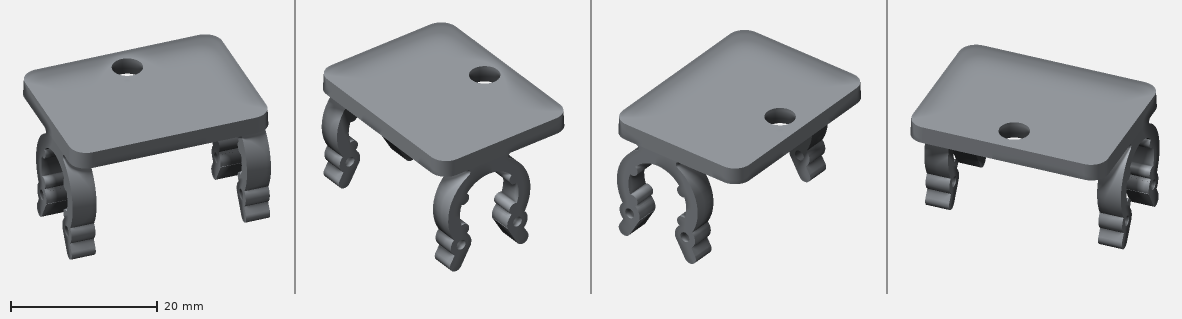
import cadquery as cq
import math

plate_width = 22.0
plate_length = 29.0
plate_thickness = 2.5
plate_corner_radius = 2.5
plate_top_inset = 0.1

hole_diameter = 4.3
hole_x = -7.0

overall_height = 18.25
clip_width = 3.5
clip_x = 3.0
ring_outer_radius = 7.0
ring_inner_radius = 5.0
ring_z = -(plate_thickness + ring_outer_radius)
root_fillet_radius = 0.5
bump_radius = 0.9
bump_angle = 30
eye_radius = 1.75
eye_hole_diameter = 1.5
eye_offset = 4.78
leg_radius = 1.02
leg_tilt = math.radians(30)

tip_z = leg_radius - overall_height - ring_z
leg_drop = -eye_offset - tip_z
leg_shift = (leg_drop * math.sin(leg_tilt) + leg_radius - eye_radius) / math.cos(leg_tilt)
tip_x = eye_offset + leg_shift


def rounded_outline(width, length):
    return cq.Sketch().rect(width, length).vertices().fillet(plate_corner_radius)


def make_plate():
    bottom = rounded_outline(plate_width, plate_length)
    top = rounded_outline(plate_width - 2 * plate_top_inset, plate_length - 2 * plate_top_inset)
    plate = (
        cq.Workplane("XY")
        .placeSketch(bottom.moved(cq.Location(cq.Vector(0, 0, -plate_thickness))), top)
        .loft()
    )
    hole = cq.Workplane("XY").center(hole_x, 0).circle(hole_diameter / 2).extrude(-plate_thickness)
    return plate.cut(hole)


def section():
    return cq.Workplane("XZ")


def disc(x, z, radius):
    return section().center(x, z).circle(radius).extrude(clip_width)


def make_ring():
    ring = section().circle(ring_outer_radius).circle(ring_inner_radius).extrude(clip_width)
    reach = 2 * ring_outer_radius
    mouth = section().polyline([(0, 0), (reach, -reach), (-reach, -reach)]).close().extrude(clip_width)
    return ring.cut(mouth)


def make_root():
    fillet_z = ring_outer_radius - root_fillet_radius
    center_distance = ring_outer_radius + root_fillet_radius
    fillet_x = math.sqrt(center_distance**2 - fillet_z**2)
    contact_scale = ring_outer_radius / center_distance
    contact_x = fillet_x * contact_scale
    contact_z = fillet_z * contact_scale
    root = (
        section()
        .polyline([
            (-fillet_x, ring_outer_radius),
            (fillet_x, ring_outer_radius),
            (fillet_x, fillet_z),
            (contact_x, contact_z),
            (-contact_x, contact_z),
            (-fillet_x, fillet_z),
        ])
        .close()
        .extrude(clip_width)
    )
    for side in (-1, 1):
        root = root.cut(disc(side * fillet_x, fillet_z, root_fillet_radius))
    return root


def make_leg(side):
    bar_length = leg_drop / math.cos(leg_tilt)
    bar = (
        section()
        .center(side * tip_x, tip_z)
        .transformed(rotate=(0, 0, side * math.degrees(leg_tilt)))
        .center(0, bar_length / 2)
        .rect(2 * leg_radius, bar_length)
        .extrude(clip_width)
    )
    return bar.union(disc(side * tip_x, tip_z, leg_radius))


def make_clip():
    clip = make_ring().union(make_root())
    bump_x = ring_inner_radius * math.cos(math.radians(bump_angle))
    bump_z = ring_inner_radius * math.sin(math.radians(bump_angle))
    for side in (-1, 1):
        for level in (-1, 1):
            clip = clip.union(disc(side * bump_x, level * bump_z, bump_radius))
        clip = clip.union(disc(side * eye_offset, -eye_offset, eye_radius))
        clip = clip.union(make_leg(side))
        clip = clip.cut(disc(side * eye_offset, -eye_offset, eye_hole_diameter / 2))
    return clip


result = make_plate()
clip = make_clip()
for clip_back_y in (clip_width - plate_length / 2, plate_length / 2):
    result = result.union(clip.translate((clip_x, clip_back_y, ring_z)))